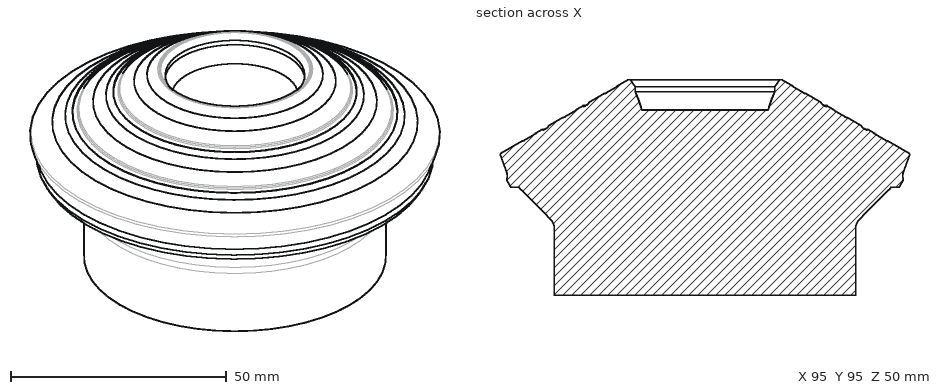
import cadquery as cq
import math

TOTAL_HEIGHT = 50.0
STEM_RADIUS = 35.0
STEM_TOP_Z = 16.75
STEM_FILLET = 3.0
FLARE_ANGLE = 45.0
FLARE_TOP_Z = 24.65
FLARE_COLLAR_ANGLE = 40.0

LEDGE_Z = 25.05
BAND_BOTTOM_Z = 26.65
BAND_TOP_Z = 28.15
BAND_RADIUS = 46.0
CHAMFER_ANGLE = 30.0
RIM_ANGLE = 20.0
HEAD_RADIUS = 47.5
RIM_FILLET = 0.5

CONE_ANGLE = 30.0
CONE_TOP_RADIUS = 17.85
MOUTH_OUTER_FILLET = 0.5

MOUTH_RADIUS = 17.3
MOUTH_INNER_FILLET = 0.3
MOUTH_ANGLE = 35.0
NECK_RADIUS = 16.15
NECK_BOTTOM_Z = 47.2
POCKET_FLOOR_Z = 43.0
POCKET_TAPER_ANGLE = 20.0

GROOVE_RADII = (26.75, 36.2)
GROOVE_SPAN = 1.5
GROOVE_DEPTH = 0.25
GROOVE_LIP_FILLET = 0.5

RECESS_RADII = (20.4, 29.9, 39.35)
RECESS_SPAN = 3.0
RECESS_DEPTH = 0.1


def tan_deg(angle):
    return math.tan(math.radians(angle))


def cone_height(radius):
    """Height of the conical top face at a given radius."""
    return TOTAL_HEIGHT - (radius - CONE_TOP_RADIUS) * tan_deg(CONE_ANGLE)


def rim_corner():
    """Sharp corner of the rim whose fillet reaches exactly HEAD_RADIUS."""
    cone_normal = 90.0 - CONE_ANGLE
    bisector = math.radians((cone_normal - RIM_ANGLE) / 2)
    half_turn = math.radians((cone_normal + RIM_ANGLE) / 2)
    corner_reach = RIM_FILLET / math.cos(half_turn)
    radius = HEAD_RADIUS - RIM_FILLET + corner_reach * math.cos(bisector)
    return radius, cone_height(radius)


def fillet_points(before, corner, after, radius):
    """Start, middle and end of the arc that rounds a corner."""
    corner = cq.Vector(*corner)
    to_before = (cq.Vector(*before) - corner).normalized()
    to_after = (cq.Vector(*after) - corner).normalized()
    half_angle = to_before.getAngle(to_after) / 2
    setback = radius / math.tan(half_angle)
    middle_distance = radius / math.sin(half_angle) - radius
    inward = (to_before + to_after).normalized()
    arc = (
        corner + to_before * setback,
        corner + inward * middle_distance,
        corner + to_after * setback,
    )
    return [(point.x, point.y) for point in arc]


def revolve_outline(corners):
    """Revolve (radius, height, fillet) corners about Z; the first corner is sharp."""
    points = [corner[:2] for corner in corners]
    outline = cq.Workplane("XZ").moveTo(*points[0])
    for i in range(1, len(points)):
        fillet = corners[i][2]
        if fillet == 0:
            outline = outline.lineTo(*points[i])
            continue
        following = points[(i + 1) % len(points)]
        start, middle, end = fillet_points(points[i - 1], points[i], following, fillet)
        outline = outline.lineTo(*start).threePointArc(middle, end)
    return outline.close().revolve(360, (0, 0, 0), (0, 1, 0))


def make_body():
    """Stem and head with the tapered pocket in the top."""
    flare_radius = STEM_RADIUS + (FLARE_TOP_Z - STEM_TOP_Z) * tan_deg(FLARE_ANGLE)
    collar_radius = flare_radius + (LEDGE_Z - FLARE_TOP_Z) * tan_deg(FLARE_COLLAR_ANGLE)
    ledge_radius = BAND_RADIUS - (BAND_BOTTOM_Z - LEDGE_Z) * tan_deg(CHAMFER_ANGLE)
    corner_radius, corner_z = rim_corner()
    band_top_radius = corner_radius - (corner_z - BAND_TOP_Z) * tan_deg(RIM_ANGLE)
    neck_top_z = TOTAL_HEIGHT - (MOUTH_RADIUS - NECK_RADIUS) / tan_deg(MOUTH_ANGLE)
    floor_radius = NECK_RADIUS - (NECK_BOTTOM_Z - POCKET_FLOOR_Z) * tan_deg(POCKET_TAPER_ANGLE)
    return revolve_outline([
        (0, 0, 0),
        (STEM_RADIUS, 0, 0),
        (STEM_RADIUS, STEM_TOP_Z, STEM_FILLET),
        (flare_radius, FLARE_TOP_Z, 0),
        (collar_radius, LEDGE_Z, 0),
        (ledge_radius, LEDGE_Z, 0),
        (BAND_RADIUS, BAND_BOTTOM_Z, 0),
        (band_top_radius, BAND_TOP_Z, 0),
        (corner_radius, corner_z, RIM_FILLET),
        (CONE_TOP_RADIUS, TOTAL_HEIGHT, MOUTH_OUTER_FILLET),
        (MOUTH_RADIUS, TOTAL_HEIGHT, MOUTH_INNER_FILLET),
        (NECK_RADIUS, neck_top_z, 0),
        (NECK_RADIUS, NECK_BOTTOM_Z, 0),
        (floor_radius, POCKET_FLOOR_Z, 0),
        (0, POCKET_FLOOR_Z, 0),
    ])


def make_recess(edge_radius):
    """Cutter for one wide shallow recess, floor parallel to the cone."""
    slope = math.radians(CONE_ANGLE)
    inset = RECESS_DEPTH * math.sin(slope)
    drop = RECESS_DEPTH * math.cos(slope)
    far_radius = edge_radius + RECESS_SPAN
    outline = cq.Workplane("XZ").polyline([
        (edge_radius, cone_height(edge_radius)),
        (far_radius, cone_height(far_radius)),
        (far_radius - inset, cone_height(far_radius) - drop),
        (edge_radius - inset, cone_height(edge_radius) - drop),
    ])
    return outline.close().revolve(360, (0, 0, 0), (0, 1, 0))


def make_groove(lip_radius):
    """Cutter for one ring groove: S-curved upper wall, floor parallel to the cone."""
    slope = math.radians(CONE_ANGLE)

    def place(along, depth):
        """Radius and height of a point down the slope and below the cone."""
        radius = lip_radius + along * math.cos(slope) - depth * math.sin(slope)
        height = cone_height(lip_radius) - along * math.sin(slope) - depth * math.cos(slope)
        return radius, height

    def run_at(depth):
        """Distance down the slope at which the convex arc reaches a depth."""
        return math.sqrt(GROOVE_LIP_FILLET ** 2 - (GROOVE_LIP_FILLET - depth) ** 2)

    width = GROOVE_SPAN / math.cos(slope)
    half_depth = GROOVE_DEPTH / 2
    quarter_depth = GROOVE_DEPTH / 4
    wall_middle = run_at(half_depth)
    arc_middle = run_at(quarter_depth)
    outline = (
        cq.Workplane("XZ")
        .moveTo(*place(0, 0))
        .threePointArc(place(arc_middle, quarter_depth), place(wall_middle, half_depth))
        .threePointArc(
            place(2 * wall_middle - arc_middle, GROOVE_DEPTH - quarter_depth),
            place(2 * wall_middle, GROOVE_DEPTH),
        )
        .lineTo(*place(width, GROOVE_DEPTH))
        .lineTo(*place(width, 0))
    )
    return outline.close().revolve(360, (0, 0, 0), (0, 1, 0))


result = make_body()
for groove_radius in GROOVE_RADII:
    result = result.cut(make_groove(groove_radius))
for recess_radius in RECESS_RADII:
    result = result.cut(make_recess(recess_radius))